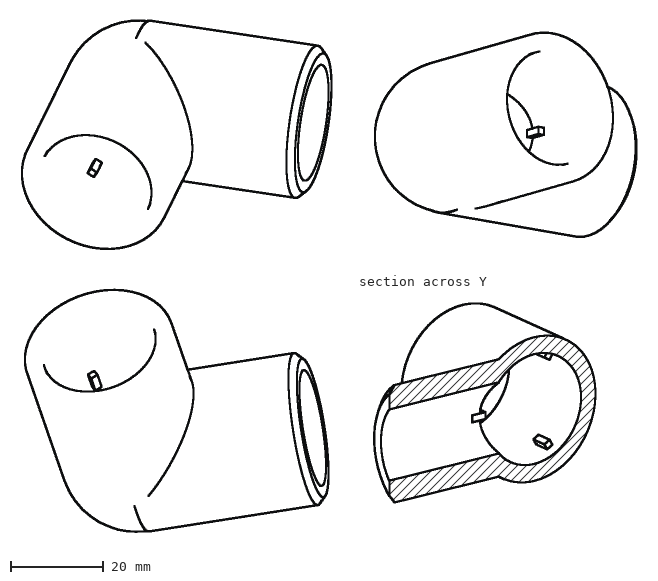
import cadquery as cq
import math


y_leg_diameter = 33.0
y_bore_diameter = 25.0
y_leg_length = 36.0
y_rim_radius = 0.6

x_leg_diameter = 33.25
x_bore_diameter = 25.25
x_leg_length = 39.0
x_rim_chamfer = 1.5

rib_count = 3
rib_spacing_angle = 360 / rib_count
rib_width = 1.6
rib_tip_radius = 11.0
rib_front_distance = y_leg_diameter / 2
rib_back_distance = y_bore_diameter / 2
rib_root_radius = (y_bore_diameter + y_leg_diameter) / 4


def x_cylinder(diameter):
    """Cylinder from the corner to the end of the +X leg."""
    return cq.Workplane("YZ").circle(diameter / 2).extrude(x_leg_length)


def domed_y_cylinder(diameter):
    """Cylinder along the -Y leg, closed at the corner by a half ball centred on the origin."""
    radius = diameter / 2
    diagonal = radius * math.sqrt(0.5)
    return (
        cq.Workplane("XY")
        .moveTo(0, -y_leg_length)
        .lineTo(radius, -y_leg_length)
        .lineTo(radius, 0)
        .threePointArc((diagonal, diagonal), (0, radius))
        .close()
        .revolve(360, (0, 0, 0), (0, 1, 0))
    )


def outer_body():
    """Solid elbow with the -Y rim rounded and the +X rim chamfered."""
    x_leg = x_cylinder(x_leg_diameter).faces(">X").chamfer(x_rim_chamfer)
    y_leg = domed_y_cylinder(y_leg_diameter).faces("<Y").edges().fillet(y_rim_radius)
    return y_leg.union(x_leg)


def bored(body):
    """Body with the passage cut through both legs and the -Y mouth rounded."""
    passage = domed_y_cylinder(y_bore_diameter).union(x_cylinder(x_bore_diameter))
    mouth_edge = cq.selectors.RadiusNthSelector(0)
    return body.cut(passage).faces("<Y").edges(mouth_edge).fillet(y_rim_radius)


def stop_rib(angle):
    """Rib on the bore wall of the -Y leg, turned about the Y axis."""
    rib = cq.Workplane("XY").box(
        rib_root_radius - rib_tip_radius,
        rib_front_distance - rib_back_distance,
        rib_width,
        centered=(False, False, True),
    )
    placed = rib.translate((rib_tip_radius, -rib_front_distance, 0))
    return placed.rotate((0, 0, 0), (0, 1, 0), angle)


result = bored(outer_body())
for index in range(rib_count):
    result = result.union(stop_rib(index * rib_spacing_angle))